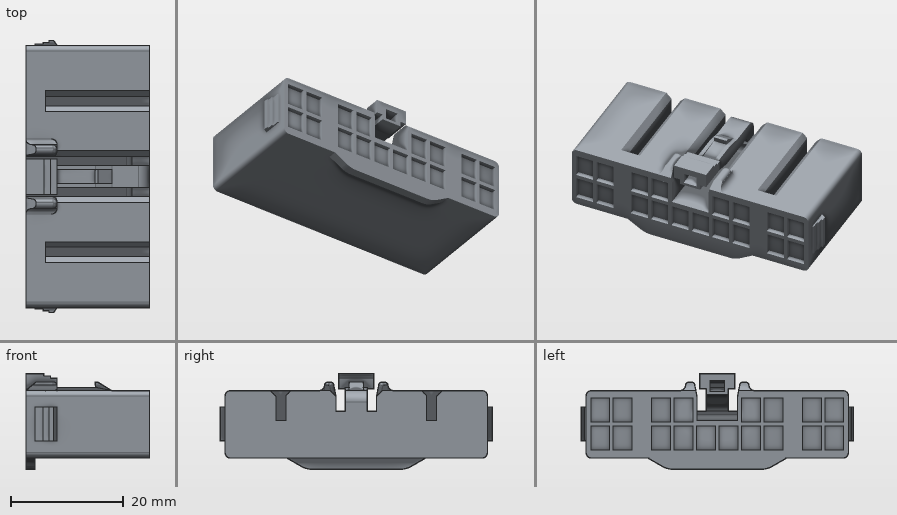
import cadquery as cq
import math


LENGTH = 22.0
WIDTH = 46.6
HEIGHT = 12.0
HALF_WIDTH = WIDTH / 2
CORNER_RADIUS = 1.0
OVERCUT = 1.0

KEEL_THICKNESS = 1.65
KEEL_DROP = 2.0
KEEL_HALF_TOP = 12.3
KEEL_FLANK_ANGLE = 30.0
KEEL_RADIUS = 4.0

CAVITY_WIDTH = 3.35
CAVITY_HEIGHT = 4.25
CAVITY_DEPTH = 0.9
LOWER_ROW_Z = 3.6
UPPER_ROW_Z = 8.57
OUTER_COLUMNS = (6.0, 10.0, 16.8, 20.77)
CENTRE_COLUMN = 2.0

CHANNEL_HALF_WIDTH = 3.58
CHANNEL_FLOOR = 6.72
CHANNEL_CHAMFER = 1.05
STEP_X = 18.85
STEP_Z = 8.36
STEP_FILLET = 1.0

SLOT_START = 3.5
SLOT_INNER = 12.48
SLOT_OUTER = 14.23
SLOT_INNER_CHAMFER = 0.9
SLOT_OUTER_CHAMFER = 1.05
SLOT_FLOOR = CHANNEL_FLOOR

GRIP_START = 1.6
GRIP_BOTTOM = 3.05
GRIP_TOP = 9.1
GRIP_STEP_X = (3.07, 4.1)
GRIP_RAMP_X = 4.96
GRIP_END = 5.55
GRIP_HEIGHTS = (0.25, 0.52, 0.85)

HORN_LENGTH = 5.55
HORN_TOP = 13.5
HORN_ROOT_Z = HEIGHT - CHANNEL_CHAMFER
HORN_INNER = 4.07
HORN_OUTER = 5.65
HORN_TOP_RADIUS = 0.6
HORN_SIDE_RADIUS = 0.75
HORN_FLARE_RADIUS = 1.0
HORN_NOSE_LENGTH = 1.8

HEAD_HALF_WIDTH = 3.15
HEAD_BOTTOM = 12.3
HEAD_TOP = 15.0
HEAD_STEP_X = (3.2, 4.4)
HEAD_STEP_DROP = 0.4
HEAD_END = 5.55

ARM_HALF_WIDTH = 1.97
ARM_TOP = 12.58
ARM_BOTTOM = 11.3
ARM_SLOPE_X = (3.4, 10.8)
ARM_BEND_X = 12.4
ARM_BEND_END_X = 15.27
ARM_REAR_THICKNESS = 2.5
ARM_REAR_RADIUS = 2.0
POST_FILLET = 1.1

WINDOW_HALF_WIDTH = 1.25
WINDOW_BOTTOM = 11.8
GROOVE_END_Z = 12.5
WINDOW_TOP = 13.78
WINDOW_REAR_TOP = 13.36
CATCH_TIP_X = 12.25
CATCH_CREST_X = 12.82
CATCH_TOP = 13.48


def block(x, y, z):
    """Axis-aligned box from (min, max) pairs."""
    size = (x[1] - x[0], y[1] - y[0], z[1] - z[0])
    return cq.Workplane("XY").box(*size, centered=False).translate((x[0], y[0], z[0]))


def along_x(sketch_points, start, end):
    """Prism with a (y, z) outline, running from x = start to x = end."""
    return cq.Workplane("YZ", origin=(start, 0, 0)).polyline(sketch_points).close().extrude(end - start)


def across_y(sketch_points, half_width):
    """Prism with an (x, z) outline, centred on y = 0."""
    return cq.Workplane("XZ").polyline(sketch_points).close().extrude(half_width, both=True)


def on_both_sides(solid):
    return solid.union(solid.mirror("XZ"))


def make_body():
    body = block((0, LENGTH), (-HALF_WIDTH, HALF_WIDTH), (0, HEIGHT))
    return body.edges("|X").fillet(CORNER_RADIUS)


def make_keel():
    half_bottom = KEEL_HALF_TOP - KEEL_DROP / math.tan(math.radians(KEEL_FLANK_ANGLE))
    root_z = CORNER_RADIUS
    outline = [
        (-KEEL_HALF_TOP, root_z),
        (-KEEL_HALF_TOP, 0),
        (-half_bottom, -KEEL_DROP),
        (half_bottom, -KEEL_DROP),
        (KEEL_HALF_TOP, 0),
        (KEEL_HALF_TOP, root_z),
    ]
    keel = along_x(outline, 0, KEEL_THICKNESS)
    bottom_edges = keel.faces("<Z").edges("|X")
    return bottom_edges.fillet(KEEL_RADIUS)


def make_cavities():
    lower = [(side * y, LOWER_ROW_Z) for y in (CENTRE_COLUMN, *OUTER_COLUMNS) for side in (-1, 1)]
    upper = [(side * y, UPPER_ROW_Z) for y in OUTER_COLUMNS for side in (-1, 1)]
    cavities = cq.Workplane("YZ").pushPoints(lower + upper).rect(CAVITY_WIDTH, CAVITY_HEIGHT)
    return cavities.extrude(CAVITY_DEPTH)


def make_channel():
    """Open channel for the latch, with a raised floor behind a filleted step."""
    top = HEIGHT + OVERCUT
    end = LENGTH + OVERCUT
    outline = (
        cq.Workplane("XZ")
        .moveTo(-OVERCUT, top)
        .lineTo(-OVERCUT, CHANNEL_FLOOR)
        .lineTo(STEP_X - STEP_FILLET, CHANNEL_FLOOR)
        .radiusArc((STEP_X, CHANNEL_FLOOR + STEP_FILLET), -STEP_FILLET)
        .lineTo(STEP_X, STEP_Z)
        .lineTo(end, STEP_Z)
        .lineTo(end, top)
        .close()
    )
    channel = outline.extrude(CHANNEL_HALF_WIDTH, both=True)
    chamfer = [
        (-CHANNEL_HALF_WIDTH, HEIGHT - CHANNEL_CHAMFER),
        (CHANNEL_HALF_WIDTH, HEIGHT - CHANNEL_CHAMFER),
        (CHANNEL_HALF_WIDTH + CHANNEL_CHAMFER, HEIGHT),
        (-CHANNEL_HALF_WIDTH - CHANNEL_CHAMFER, HEIGHT),
    ]
    return channel.union(along_x(chamfer, 0, LENGTH))


def make_side_slots():
    outline = [
        (SLOT_INNER, SLOT_FLOOR),
        (SLOT_OUTER, SLOT_FLOOR),
        (SLOT_OUTER, HEIGHT - SLOT_OUTER_CHAMFER),
        (SLOT_OUTER + SLOT_OUTER_CHAMFER, HEIGHT),
        (SLOT_INNER - SLOT_INNER_CHAMFER, HEIGHT),
        (SLOT_INNER, HEIGHT - SLOT_INNER_CHAMFER),
    ]
    return on_both_sides(along_x(outline, SLOT_START, LENGTH))


def make_grips():
    """Stepped finger grips that rise towards the mating end."""
    low, middle, high = [HALF_WIDTH + height for height in GRIP_HEIGHTS]
    root_y = HALF_WIDTH - CORNER_RADIUS
    outline = [
        (GRIP_START, root_y),
        (GRIP_START, low),
        (GRIP_STEP_X[0], low),
        (GRIP_STEP_X[0], middle),
        (GRIP_STEP_X[1], middle),
        (GRIP_STEP_X[1], high),
        (GRIP_RAMP_X, high),
        (GRIP_END, HALF_WIDTH),
        (GRIP_END, root_y),
    ]
    grip = cq.Workplane("XY", origin=(0, 0, GRIP_BOTTOM)).polyline(outline).close()
    return on_both_sides(grip.extrude(GRIP_TOP - GRIP_BOTTOM))


def make_horn_pillar():
    """Tapered core of a horn, rounded at its rear corners and around its top."""
    outline = [
        (CHANNEL_HALF_WIDTH, HORN_ROOT_Z),
        (HORN_INNER, HORN_TOP),
        (HORN_OUTER, HORN_TOP),
        (HORN_OUTER, HORN_ROOT_Z),
    ]
    pillar = along_x(outline, 0, HORN_LENGTH)
    pillar = pillar.edges(">X and (not <Z) and (not >Z)").fillet(HORN_SIDE_RADIUS)
    return pillar.faces(">Z").edges("not <X").fillet(HORN_TOP_RADIUS)


def make_horn_flare():
    """Concave flare that carries the outer side of a horn down to the body top."""
    inner_y = HORN_OUTER - HORN_SIDE_RADIUS
    outer_y = HORN_OUTER + HORN_FLARE_RADIUS
    profile = (
        cq.Workplane("YZ")
        .moveTo(inner_y, HORN_ROOT_Z)
        .lineTo(inner_y, HEIGHT + HORN_FLARE_RADIUS)
        .lineTo(HORN_OUTER, HEIGHT + HORN_FLARE_RADIUS)
        .radiusArc((outer_y, HEIGHT), -HORN_FLARE_RADIUS)
        .lineTo(outer_y, HORN_ROOT_Z)
        .close()
    )
    limit = block((0, HORN_LENGTH), (inner_y, outer_y), (HORN_ROOT_Z, HORN_TOP))
    limit = limit.edges("|Z and >X and >Y").fillet(HORN_FLARE_RADIUS)
    return profile.extrude(HORN_LENGTH).intersect(limit)


def make_horns():
    """Guard horns with a sloped nose; their roots fill the chamfer along the channel edge."""
    nose = [
        (0, HEIGHT),
        (HORN_NOSE_LENGTH, HORN_TOP),
        (HORN_NOSE_LENGTH, HORN_TOP + OVERCUT),
        (-OVERCUT, HORN_TOP + OVERCUT),
        (-OVERCUT, HEIGHT),
    ]
    horn = make_horn_pillar().union(make_horn_flare())
    horn = horn.cut(across_y(nose, HALF_WIDTH))
    return on_both_sides(horn)


def make_latch_arm():
    """Arm carried by a post at the mating end and reaching forward to the entry face."""
    rear_bottom = HEIGHT - ARM_REAR_THICKNESS
    post_x = LENGTH - ARM_REAR_THICKNESS
    outline = (
        cq.Workplane("XZ")
        .moveTo(0, ARM_BOTTOM)
        .lineTo(0, ARM_TOP)
        .lineTo(ARM_BEND_X, ARM_TOP)
        .lineTo(ARM_BEND_END_X, HEIGHT)
        .lineTo(LENGTH - ARM_REAR_RADIUS, HEIGHT)
        .radiusArc((LENGTH, HEIGHT - ARM_REAR_RADIUS), ARM_REAR_RADIUS)
        .lineTo(LENGTH, CHANNEL_FLOOR)
        .lineTo(post_x, CHANNEL_FLOOR)
        .lineTo(post_x, rear_bottom - POST_FILLET)
        .radiusArc((post_x - POST_FILLET, rear_bottom), -POST_FILLET)
        .lineTo(ARM_SLOPE_X[1], rear_bottom)
        .lineTo(ARM_SLOPE_X[0], ARM_BOTTOM)
        .close()
    )
    return outline.extrude(ARM_HALF_WIDTH, both=True)


def make_latch_head():
    """Finger pad with two steps down towards the arm."""
    middle_z = HEAD_TOP - HEAD_STEP_DROP
    low_z = middle_z - HEAD_STEP_DROP
    outline = [
        (0, HEAD_BOTTOM),
        (0, HEAD_TOP),
        (HEAD_STEP_X[0], HEAD_TOP),
        (HEAD_STEP_X[0], middle_z),
        (HEAD_STEP_X[1], middle_z),
        (HEAD_STEP_X[1], low_z),
        (HEAD_END, low_z),
        (HEAD_END, HEAD_BOTTOM),
    ]
    return across_y(outline, HEAD_HALF_WIDTH)


def make_window():
    """Tapered opening through the head that runs out as a shallow groove along the arm."""
    outline = [
        (0, WINDOW_BOTTOM),
        (ARM_BEND_X, GROOVE_END_Z),
        (ARM_BEND_X, ARM_TOP),
        (HEAD_END, ARM_TOP),
        (HEAD_END, WINDOW_REAR_TOP),
        (0, WINDOW_TOP),
    ]
    return across_y(outline, WINDOW_HALF_WIDTH)


def make_catch():
    """Hook on the arm: undercut front face, flat crest and a ramp down to the arm."""
    outline = [
        (ARM_BEND_X, ARM_BOTTOM),
        (ARM_BEND_X, ARM_TOP),
        (CATCH_TIP_X, CATCH_TOP),
        (CATCH_CREST_X, CATCH_TOP),
        (ARM_BEND_END_X, HEIGHT),
        (ARM_BEND_END_X, ARM_BOTTOM),
    ]
    return across_y(outline, WINDOW_HALF_WIDTH)


def make_latch():
    latch = make_latch_arm().union(make_latch_head())
    return latch.cut(make_window()).union(make_catch())


housing = make_body().union(make_keel()).union(make_grips())
housing = housing.cut(make_channel()).cut(make_side_slots())
housing = housing.union(make_horns()).cut(make_cavities())
result = housing.union(make_latch())